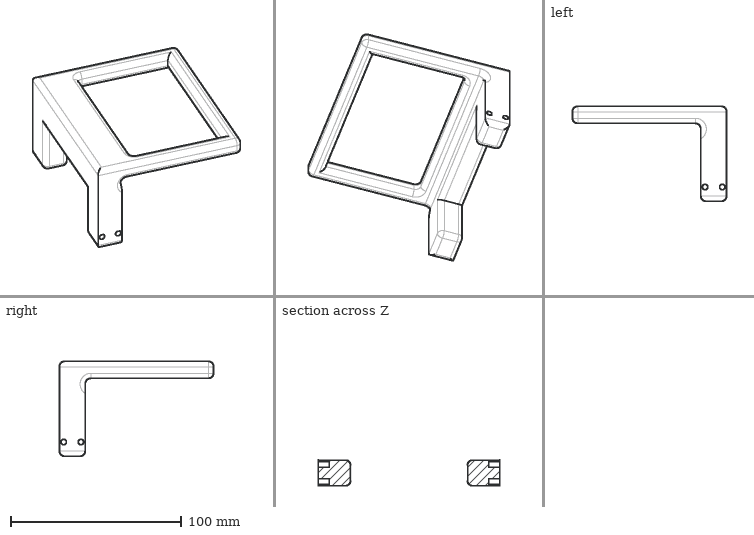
import cadquery as cq
import math

width = 106.7
depth = 90.7
height = 55.9
edge_radius = 3.2

frame_thickness = 10.1
rail_width = 8.9
window_front = 24.2

upright_depth = 15.3
leg_width = 19.1
beam_height = 24.1

hole_diameter = 3.2
hole_depth = 6.4
hole_height = 8.4
hole_inset = 2.6

frame_bottom = height - frame_thickness
corner_centre_y = upright_depth + edge_radius
corner_centre_z = frame_bottom - edge_radius
beam_bottom = height - beam_height
leg_gap = width - 2 * leg_width
window_width = width - 2 * rail_width
window_back = depth - rail_width
selection_margin = 0.01


def block(size_x, y_start, y_end, z_start, z_end):
    """Box centred on X = 0, given by its Y and Z limits."""
    box = cq.Workplane("XY").box(size_x, y_end - y_start, z_end - z_start, centered=(True, False, False))
    return box.translate((0, y_start, z_start))


def edges_within(body, x_limit, y_start, y_end, z_start, z_end):
    """Edges whose midpoints lie inside a box with X from -x_limit to x_limit."""
    selector = cq.selectors.BoxSelector(
        (-x_limit - selection_margin, y_start - selection_margin, z_start - selection_margin),
        (x_limit + selection_margin, y_end + selection_margin, z_end + selection_margin),
    )
    return body.edges(selector)


def bracket_top():
    """Frame and the top of the upright, joined by the rounded inner corner that ends the block below."""
    frame = block(width, 0, depth, frame_bottom, height)
    upright_top = block(width, 0, upright_depth, corner_centre_z, height)
    corner = block(width, upright_depth, corner_centre_y, corner_centre_z, frame_bottom)
    corner_cylinder = (
        cq.Workplane("YZ")
        .workplane(offset=-width / 2)
        .center(corner_centre_y, corner_centre_z)
        .circle(edge_radius)
        .extrude(width)
    )
    return frame.union(upright_top).union(corner.cut(corner_cylinder))


def window_cutter():
    """Window opening, rounded at its two front corners only."""
    cutter = block(window_width, window_front, window_back, frame_bottom, height)
    return cutter.edges("|Z and <Y").fillet(edge_radius)


def corner_runout():
    """Quarter-turn cutter that carries the underside rounding on from the inner corner into one leg."""
    inner = edge_radius
    outer = 2 * edge_radius
    side = width / 2
    quarter_turn = 90
    arc_middle = edge_radius * math.sqrt(0.5)
    profile = (
        cq.Workplane("XY", origin=(0, corner_centre_y, corner_centre_z))
        .moveTo(side - edge_radius, -inner)
        .threePointArc((side - edge_radius + arc_middle, -outer + arc_middle), (side, -outer))
        .lineTo(side, -inner)
        .close()
    )
    return profile.revolve(quarter_turn, (0, 0, 0), (1, 0, 0))


def cross_holes():
    """Pair of blind holes running along X into one leg."""
    positions = [(y, hole_height) for y in (hole_inset, upright_depth - hole_inset)]
    holes = cq.Workplane("YZ").workplane(offset=width / 2).pushPoints(positions)
    return holes.circle(hole_diameter / 2).extrude(-hole_depth)


def on_both_sides(cutter):
    """The cutter together with its mirror image across X = 0."""
    return cutter.union(cutter.mirror("YZ"))


body = bracket_top()
body = body.cut(window_cutter())

body = body.edges("|Z and >Y").edges("<X or >X").fillet(edge_radius)

body = body.faces(">Z").edges().fillet(edge_radius)
window_rim = edges_within(body, window_width / 2, window_front, window_back, frame_bottom, frame_bottom)
body = window_rim.fillet(edge_radius)

body = body.edges(cq.selectors.NearestToPointSelector((0, depth, frame_bottom))).fillet(edge_radius)

body = body.union(block(width, 0, upright_depth, 0, corner_centre_z))
body = body.cut(on_both_sides(corner_runout()))
body = body.cut(block(leg_gap, 0, upright_depth, 0, beam_bottom))

for face_y in (0, upright_depth):
    opening_rim = edges_within(body, leg_gap / 2, face_y, face_y, 0, beam_bottom)
    body = opening_rim.fillet(edge_radius)

body = body.faces("<Z").edges().fillet(edge_radius)

result = body.cut(on_both_sides(cross_holes()))